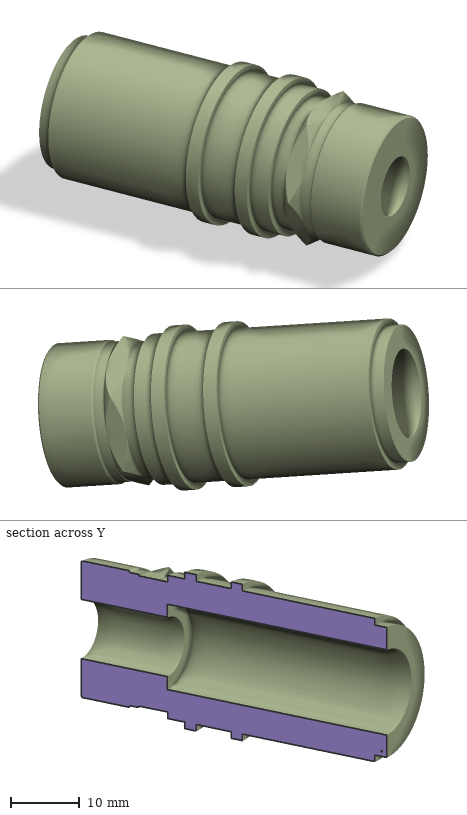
import cadquery as cq
import math

length = 53.0

body_diameter = 22.0
spigot_diameter = 20.0
collar_diameter = 24.0
end_diameter = 21.0
front_bore_diameter = 13.0
through_bore_diameter = 9.0

spigot_length = 2.0
collar_starts = (25.0, 33.0)
collar_width = 2.0
body_end = 38.0
hex_start = 40.0
hex_width = 2.95
hex_end = hex_start + hex_width
end_start = 44.45

end_chamfer = 0.25
relief_diameter = end_diameter - 2 * end_chamfer

hex_flats = spigot_diameter
hex_corners = hex_flats / math.cos(math.pi / 6)

front_bore_depth = body_end


def plane_at(x):
    """YZ plane at station x, facing +X."""
    return cq.Workplane("YZ", origin=(x, 0, 0))


def cylinder(start, end, diameter):
    """Round section between two stations."""
    return plane_at(start).circle(diameter / 2).extrude(end - start)


def hexagon():
    """Hex ring with corners on +Y and -Y, bevelled to a ridge at mid-width."""
    prism = plane_at(hex_start).polygon(6, hex_corners).extrude(hex_width)
    double_cone = (
        cq.Workplane("XY")
        .moveTo(hex_start, 0)
        .lineTo(hex_start, hex_flats / 2)
        .lineTo(hex_start + hex_width / 2, hex_corners / 2)
        .lineTo(hex_end, hex_flats / 2)
        .lineTo(hex_end, 0)
        .close()
        .revolve(360, (0, 0, 0), (1, 0, 0))
    )
    return prism.intersect(double_cone)


end_section = cylinder(end_start, length, end_diameter).faces("<X or >X").chamfer(end_chamfer)

outer = cylinder(0, hex_start, spigot_diameter)
outer = outer.union(cylinder(spigot_length, body_end, body_diameter))
for collar_start in collar_starts:
    outer = outer.union(cylinder(collar_start, collar_start + collar_width, collar_diameter))
outer = outer.union(hexagon())
outer = outer.union(cylinder(hex_end, end_start, relief_diameter))
outer = outer.union(end_section)

result = outer.cut(cylinder(0, length, through_bore_diameter))
result = result.cut(cylinder(0, front_bore_depth, front_bore_diameter))